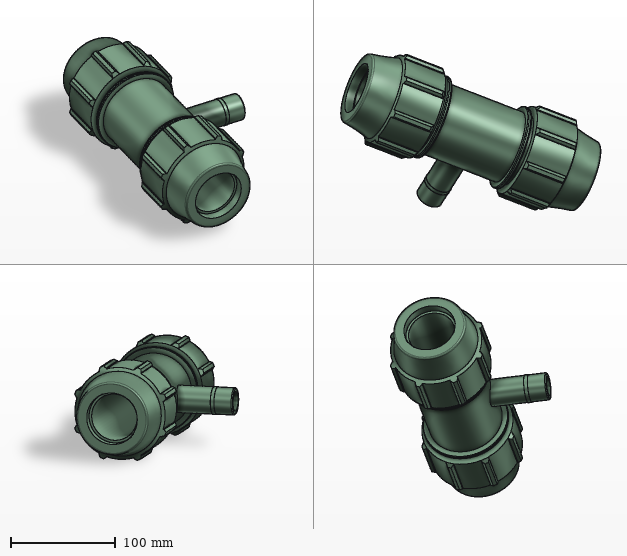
import cadquery as cq
import math


length = 244.0
half_length = length / 2
tube_radius = 72.0 / 2
bore_radius = 45.0 / 2
socket_radius = 50.0 / 2
socket_depth = 8.8

nose_edge_round = 1.7
nose_front_radius = 35.5
nose_middle_radius = 37.8
nose_back_radius = 41.2
nose_length = 28.5

grip_radius = 44.7
grip_end = 73.0
grip_face_slope = 0.42
rib_count = 8
rib_half_width = 4.0
rib_height = 48.0
rib_bevel_width = 2.0
rib_bevel_height = 2.7
rib_runout = 3.0

collar_radius = 83.5 / 2
collar_start = 77.3
collar_width = 4.1
collar_bevel_length = 1.2
collar_bevel_height = 0.5

branch_end = 90.0
branch_radius = 26.4 / 2
branch_bore_radius = 18.5 / 2
branch_chamfer = 1.0
band_radius = 27.0 / 2
band_start = 68.5
band_width = 3.7


def x_cylinder(radius, start, span):
    return cq.Workplane("YZ").workplane(offset=start).circle(radius).extrude(span)


def y_cylinder(radius, start, span):
    return cq.Workplane("XZ").workplane(offset=-start).circle(radius).extrude(-span)


def revolve_about_run(profile):
    return profile.close().revolve(360, (0, 0, 0), (1, 0, 0))


def nose():
    """Concave nose with a rounded front edge."""
    x_end = -half_length
    x_arc = x_end + nose_edge_round
    x_back = x_end + nose_length
    round_offset = nose_edge_round * (1 - math.sqrt(0.5))
    profile = (
        cq.Workplane("XY")
        .moveTo(x_end, 0)
        .lineTo(x_end, nose_front_radius - nose_edge_round)
        .threePointArc(
            (x_end + round_offset, nose_front_radius - round_offset),
            (x_arc, nose_front_radius),
        )
        .threePointArc(((x_arc + x_back) / 2, nose_middle_radius), (x_back, nose_back_radius))
        .lineTo(x_back, 0)
    )
    return revolve_about_run(profile)


def rib():
    """One bevelled rib on the +Z side, with its inner end sloping down to the grip."""
    x_start = -half_length + nose_length
    x_end = -half_length + grip_end
    top_half_width = rib_half_width - rib_bevel_width
    shoulder_height = rib_height - rib_bevel_height
    bar = (
        cq.Workplane("YZ")
        .workplane(offset=x_start)
        .moveTo(-rib_half_width, 0)
        .lineTo(-rib_half_width, shoulder_height)
        .lineTo(-top_half_width, rib_height)
        .lineTo(top_half_width, rib_height)
        .lineTo(rib_half_width, shoulder_height)
        .lineTo(rib_half_width, 0)
        .close()
        .extrude(x_end - x_start)
    )
    side_outline = (
        cq.Workplane("XZ")
        .moveTo(x_start, 0)
        .lineTo(x_start, rib_height)
        .lineTo(x_end - rib_runout, rib_height)
        .lineTo(x_end, grip_radius)
        .lineTo(x_end, 0)
        .close()
        .extrude(rib_half_width, both=True)
    )
    return bar.intersect(side_outline)


def grip():
    """Ribbed ring whose outer face, ribs included, is a shallow cone."""
    x_start = -half_length + nose_length
    x_end = -half_length + grip_end
    body = x_cylinder(grip_radius, x_start, x_end - x_start)
    step = 360 / rib_count
    for index in range(rib_count):
        body = body.union(rib().rotate((0, 0, 0), (1, 0, 0), (index + 0.5) * step))

    envelope_radius = math.hypot(rib_height, rib_half_width)
    cone_depth = (envelope_radius - nose_back_radius) * grip_face_slope
    envelope = revolve_about_run(
        cq.Workplane("XY")
        .moveTo(x_start, 0)
        .lineTo(x_start, nose_back_radius)
        .lineTo(x_start + cone_depth, envelope_radius)
        .lineTo(x_end, envelope_radius)
        .lineTo(x_end, 0)
    )
    return body.intersect(envelope)


def collar():
    """Thin collar with both rim edges bevelled."""
    x_start = -half_length + collar_start
    x_end = x_start + collar_width
    edge_radius = collar_radius - collar_bevel_height
    profile = (
        cq.Workplane("XY")
        .moveTo(x_start, 0)
        .lineTo(x_start, edge_radius)
        .lineTo(x_start + collar_bevel_length, collar_radius)
        .lineTo(x_end - collar_bevel_length, collar_radius)
        .lineTo(x_end, edge_radius)
        .lineTo(x_end, 0)
    )
    return revolve_about_run(profile)


def branch():
    """Branch pipe with a chamfered tip and a slightly raised band."""
    pipe = y_cylinder(branch_radius, 0, branch_end).faces(">Y").chamfer(branch_chamfer)
    return pipe.union(y_cylinder(band_radius, band_start, band_width))


end_fitting = nose().union(grip()).union(collar())
result = x_cylinder(tube_radius, -half_length + nose_length, length - 2 * nose_length)
result = result.union(end_fitting).union(end_fitting.mirror("YZ")).union(branch())

result = result.cut(x_cylinder(bore_radius, -half_length, length))
result = result.cut(x_cylinder(socket_radius, -half_length, socket_depth))
result = result.cut(x_cylinder(socket_radius, half_length - socket_depth, socket_depth))
result = result.cut(y_cylinder(branch_bore_radius, 0, branch_end))